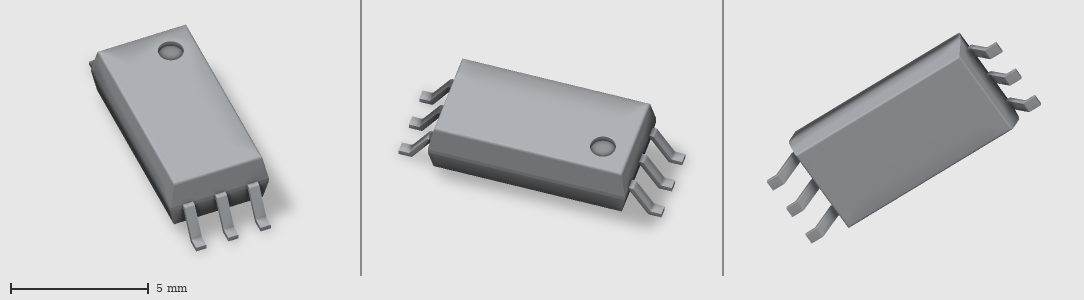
import cadquery as cq
import math

overall_length = 10.0
total_height = 2.3

body_length = 7.5
body_width = 3.84
body_bottom = 0.11
belt_bottom = 1.08
belt_top = 1.26
wall_draft = 10.2
top_edge_radius = 0.1
bottom_edge_radius = 0.08

marker_diameter = 0.94
marker_depth = 0.24
marker_x = -2.54
marker_y = 0.71

lead_width = 0.4
lead_pitch = 1.27
lead_thickness = 0.19
lead_top = belt_top
lead_angle = 57.5
foot_length = 0.4
inner_bend_radius = 0.1
outer_bend_radius = 0.08


def tapered_half(start_z, end_z):
    """Frustum from the full belt outline at start_z to the inset outline at end_z."""
    wall_inset = abs(end_z - start_z) * math.tan(math.radians(wall_draft))
    return (
        cq.Workplane("XY", origin=(0, 0, start_z))
        .rect(body_length, body_width)
        .workplane(offset=end_z - start_z)
        .rect(body_length - 2 * wall_inset, body_width - 2 * wall_inset)
        .loft(ruled=True)
    )


def make_body():
    """Package body with rounded top and bottom edges and the marker recess."""
    belt = (
        cq.Workplane("XY", origin=(0, 0, belt_bottom))
        .rect(body_length, body_width)
        .extrude(belt_top - belt_bottom)
    )
    upper = tapered_half(belt_top, total_height)
    lower = tapered_half(belt_bottom, body_bottom)
    body = belt.union(upper).union(lower)
    body = body.faces(">Z").edges().fillet(top_edge_radius)
    body = body.faces("<Z").edges().fillet(bottom_edge_radius)

    marker = (
        cq.Workplane("XY", origin=(marker_x, marker_y, total_height - marker_depth))
        .circle(marker_diameter / 2)
        .extrude(marker_depth)
    )
    return body.cut(marker)


def make_lead(side, center_y):
    """Gull-wing lead on the -X (side = -1) or +X (side = 1) end of the body."""
    tip_x = overall_length / 2
    root_x = body_length / 2
    shoulder_bottom = lead_top - lead_thickness

    bend_step = lead_thickness * math.tan(math.radians(lead_angle / 2))
    slope_run = shoulder_bottom / math.tan(math.radians(lead_angle))
    foot_bend_x = tip_x - foot_length
    shoulder_bend_x = foot_bend_x - slope_run

    outline = [
        (tip_x, 0),
        (tip_x, lead_thickness),
        (foot_bend_x, lead_thickness),
        (shoulder_bend_x, lead_top),
        (root_x, lead_top),
        (root_x, shoulder_bottom),
        (shoulder_bend_x - bend_step, shoulder_bottom),
        (foot_bend_x - bend_step, 0),
    ]
    lead = (
        cq.Workplane("XZ", origin=(0, center_y + lead_width / 2, 0))
        .polyline([(side * x, z) for x, z in outline])
        .close()
        .extrude(lead_width)
    )
    inner_bends = [(foot_bend_x, lead_thickness), (shoulder_bend_x - bend_step, shoulder_bottom)]
    outer_bends = [(foot_bend_x - bend_step, 0), (shoulder_bend_x, lead_top)]
    for bends, radius in ((inner_bends, inner_bend_radius), (outer_bends, outer_bend_radius)):
        for x, z in bends:
            edge_middle = cq.selectors.NearestToPointSelector((side * x, center_y, z))
            lead = lead.edges("|Y").edges(edge_middle).fillet(radius)
    return lead


body = make_body()

leads = []
for side in (-1, 1):
    for row in (-1, 0, 1):
        leads.append(make_lead(side, row * lead_pitch))

result = cq.Compound.makeCompound([body.val(), *[lead.val() for lead in leads]])